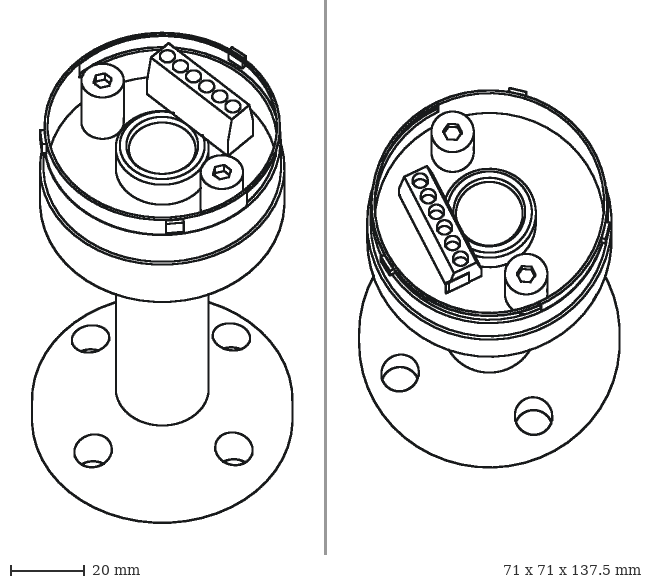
import cadquery as cq
import math

FLANGE_R = 35.5
FLANGE_SIDE_H = 8.5
FLANGE_ROUND = 1.8
CONE_TOP_R = 14.2
CONE_TOP_Z = 13.8
POST_R = 12.6
POST_TOP_Z = 122.8
POST_CHAMFER = 1.1
BOLT_HOLES = 4
BOLT_CIRCLE_R = 27.1
BOLT_HOLE_R = 5.1
MOUTH_R = 9.8
MOUTH_FLOOR_R = 9.1
MOUTH_DEPTH = 1.6

HOUSING_BOTTOM_Z = 93.8
HOUSING_R = 33.3
BOTTOM_FACE_R = 29.8
BOTTOM_ROUND_H = 3.7
STEP_Z = 112.9
UPPER_R = 32.3
BEVEL_Z = 123.9
SHOULDER_Z = 124.7
SHOULDER_R = 32.2
RIM_R = 32.0
RIM_Z = 131.3
CAVITY_R = 31.2
FLOOR_Z = 112.8
RING_H = 0.4
SCREW_BOSS_X = 22.5
SCREW_BOSS_R = 5.8
SOCKET_ACROSS_CORNERS = 5.1
SOCKET_DEPTH = 2.8
TAB_ANGLES = (95, 230, 320)
TAB_INNER_R = 31.6
TAB_OUTER_R = 33.1
TAB_WIDTH = 4.8
TAB_BOTTOM_Z = 126.9
TAB_TOP_Z = 131.0

BLOCK_LENGTH = 30.5
BLOCK_BOTTOM_Z = 122.5
BLOCK_KNEE_Z = 129.0
BLOCK_TOP_Z = 137.5
BLOCK_FRONT_Y = 9.9
BLOCK_BACK_Y = 19.8
BLOCK_TAPER = 1.5
WIRE_HOLES = 6
WIRE_PITCH = 5.0
WIRE_HOLE_R = 2.0
WIRE_HOLE_DEPTH = 5.5
END_PLATE_THICKNESS = 0.3
END_PLATE_FRONT_Y = 13.8
END_PLATE_BACK_Y = 20.8


def cylinder(radius, bottom, top, x=0.0, y=0.0):
    """Upright cylinder between two heights."""
    return cq.Workplane("XY", origin=(x, y, bottom)).circle(radius).extrude(top - bottom)


def box(x_range, y_range, z_range):
    """Box given by its limits along each axis."""
    size = [high - low for low, high in (x_range, y_range, z_range)]
    corner = (x_range[0], y_range[0], z_range[0])
    return cq.Workplane("XY").box(*size, centered=False).translate(corner)


def revolve_about_z(profile):
    """Revolve a closed (radius, height) profile about the vertical axis."""
    return profile.close().revolve(360, (0, 0, 0), (0, 1, 0))


def make_pedestal():
    """Conical-topped flange with a post and a shallow mouth in the post's top."""
    cos45 = math.cos(math.radians(45))
    round_center_r = FLANGE_R - FLANGE_ROUND
    body = revolve_about_z(
        cq.Workplane("XZ")
        .moveTo(0, 0)
        .lineTo(FLANGE_R, 0)
        .lineTo(FLANGE_R, FLANGE_SIDE_H)
        .threePointArc(
            (round_center_r + FLANGE_ROUND * cos45, FLANGE_SIDE_H + FLANGE_ROUND * cos45),
            (round_center_r, FLANGE_SIDE_H + FLANGE_ROUND),
        )
        .lineTo(CONE_TOP_R, CONE_TOP_Z)
        .lineTo(POST_R, CONE_TOP_Z)
        .lineTo(POST_R, POST_TOP_Z - POST_CHAMFER)
        .lineTo(POST_R - POST_CHAMFER, POST_TOP_Z)
        .lineTo(MOUTH_R, POST_TOP_Z)
        .lineTo(MOUTH_FLOOR_R, POST_TOP_Z - MOUTH_DEPTH)
        .lineTo(0, POST_TOP_Z - MOUTH_DEPTH)
    )
    for i in range(BOLT_HOLES):
        angle = 2 * math.pi * i / BOLT_HOLES
        x = BOLT_CIRCLE_R * math.cos(angle)
        y = BOLT_CIRCLE_R * math.sin(angle)
        body = body.cut(cylinder(BOLT_HOLE_R, 0, CONE_TOP_Z, x, y))
    return body


def housing_shell():
    """Stepped cup with a rounded bottom edge, bored to fit around the post."""
    cos45 = math.cos(math.radians(45))
    round_w = HOUSING_R - BOTTOM_FACE_R
    round_mid = (
        BOTTOM_FACE_R + round_w * cos45,
        HOUSING_BOTTOM_Z + BOTTOM_ROUND_H * (1 - cos45),
    )
    return revolve_about_z(
        cq.Workplane("XZ")
        .moveTo(POST_R, HOUSING_BOTTOM_Z)
        .lineTo(BOTTOM_FACE_R, HOUSING_BOTTOM_Z)
        .threePointArc(round_mid, (HOUSING_R, HOUSING_BOTTOM_Z + BOTTOM_ROUND_H))
        .lineTo(HOUSING_R, STEP_Z)
        .lineTo(UPPER_R, STEP_Z)
        .lineTo(UPPER_R, BEVEL_Z)
        .lineTo(SHOULDER_R, SHOULDER_Z)
        .lineTo(RIM_R, SHOULDER_Z)
        .lineTo(RIM_R, RIM_Z)
        .lineTo(CAVITY_R, RIM_Z)
        .lineTo(CAVITY_R, FLOOR_Z)
        .lineTo(POST_R, FLOOR_Z)
    )


def rear_window():
    """Half-round cutter that opens the rear of the rim below its top hoop."""
    return box((-HOUSING_R, HOUSING_R), (0, HOUSING_R), (SHOULDER_Z, RIM_Z - RING_H))


def screw_boss(x):
    """Round boss on the cup floor with a hexagonal socket in its top."""
    boss = cylinder(SCREW_BOSS_R, FLOOR_Z, RIM_Z, x)
    socket = (
        cq.Workplane("XY", origin=(x, 0, RIM_Z - SOCKET_DEPTH))
        .polygon(6, SOCKET_ACROSS_CORNERS)
        .extrude(SOCKET_DEPTH)
    )
    return boss.cut(socket)


def rim_tab(angle):
    """Small locking tab on the outside of the rim."""
    tab = box(
        (TAB_INNER_R, TAB_OUTER_R),
        (-TAB_WIDTH / 2, TAB_WIDTH / 2),
        (TAB_BOTTOM_Z, TAB_TOP_Z),
    )
    return tab.rotate((0, 0, 0), (0, 0, 1), angle)


def make_housing():
    """Cup with its rear window, screw bosses and locking tabs."""
    body = housing_shell().cut(rear_window())
    for x in (-SCREW_BOSS_X, SCREW_BOSS_X):
        body = body.union(screw_boss(x))
    for angle in TAB_ANGLES:
        body = body.union(rim_tab(angle))
    return body


def make_terminal_block():
    """Block with tapered long sides, a row of wire holes and a thin end plate."""
    half_length = BLOCK_LENGTH / 2
    body = (
        cq.Workplane("YZ", origin=(-half_length, 0, 0))
        .moveTo(BLOCK_FRONT_Y, BLOCK_BOTTOM_Z)
        .lineTo(BLOCK_BACK_Y, BLOCK_BOTTOM_Z)
        .lineTo(BLOCK_BACK_Y, BLOCK_KNEE_Z)
        .lineTo(BLOCK_BACK_Y - BLOCK_TAPER, BLOCK_TOP_Z)
        .lineTo(BLOCK_FRONT_Y + BLOCK_TAPER, BLOCK_TOP_Z)
        .lineTo(BLOCK_FRONT_Y, BLOCK_KNEE_Z)
        .close()
        .extrude(BLOCK_LENGTH)
    )
    end_plate = box(
        (-half_length - END_PLATE_THICKNESS / 2, -half_length + END_PLATE_THICKNESS / 2),
        (END_PLATE_FRONT_Y, END_PLATE_BACK_Y),
        (BLOCK_BOTTOM_Z, RIM_Z),
    )
    body = body.union(end_plate)
    row_y = (BLOCK_FRONT_Y + BLOCK_BACK_Y) / 2
    for i in range(WIRE_HOLES):
        x = (i - (WIRE_HOLES - 1) / 2) * WIRE_PITCH
        body = body.cut(cylinder(WIRE_HOLE_R, BLOCK_TOP_Z - WIRE_HOLE_DEPTH, BLOCK_TOP_Z, x, row_y))
    return body


pedestal = make_pedestal()
housing = make_housing()
terminal_block = make_terminal_block()

result = cq.Compound.makeCompound([pedestal.val(), housing.val(), terminal_block.val()])